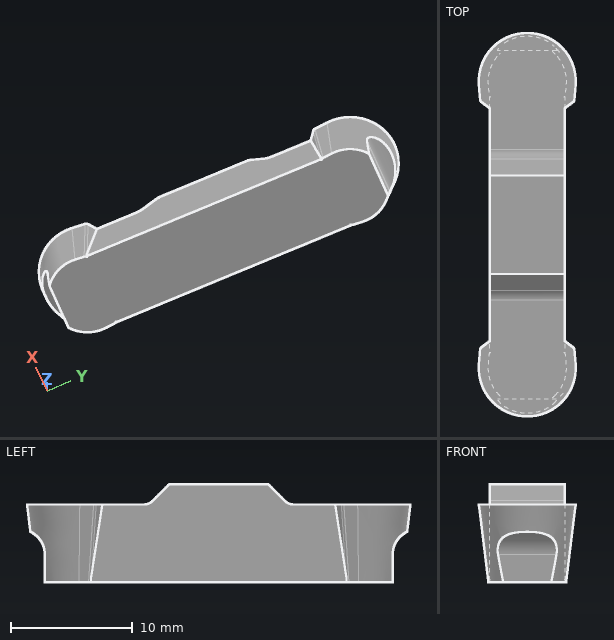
import cadquery as cq
import math

total_length = 31.53
total_height = 8.08
clearance = 1e-4

bar_width = 6.2
bar_end_y = 10.5
pad_half_length = 4.05
pad_slope = math.radians(45)
pad_foot_radius = 1.1

head_height = 6.4
head_radius = 4.0
head_relief_angle = 7.0
head_centre_y = total_length / 2 - head_radius
side_taper = math.radians(5)
shoulder_angle = math.radians(37)
shoulder_root_y = total_length / 2 - 6.2
shoulder_radius = 0.3

nose_flat_y = total_length / 2 - 1.46
nose_flat_height = 2.3
nose_cove_radius = 2.05


def make_bar():
    """Side profile of the bar and pad, extruded across the width."""
    pad_rise = total_height - head_height
    pad_foot_y = pad_half_length + pad_rise / math.tan(pad_slope)
    outline = [
        (-bar_end_y, 0),
        (bar_end_y, 0),
        (bar_end_y, head_height),
        (pad_foot_y, head_height),
        (pad_half_length, total_height),
        (-pad_half_length, total_height),
        (-pad_foot_y, head_height),
        (-bar_end_y, head_height),
    ]
    bar = cq.Workplane("YZ").polyline(outline).close().extrude(bar_width / 2, both=True)
    feet = cq.selectors.BoxSelector(
        (-bar_width, -pad_foot_y - clearance, head_height - clearance),
        (bar_width, pad_foot_y + clearance, head_height + clearance),
    )
    return bar.edges(feet).fillet(pad_foot_radius)


def make_head():
    """Head at the +Y end: round nose, tapered flanks and sloping shoulders, all with relief."""
    tangent_x = head_radius * math.cos(side_taper)
    tangent_y = head_centre_y - head_radius * math.sin(side_taper)

    shoulder_slope = math.tan(shoulder_angle)
    apex_y = shoulder_root_y - bar_width / 2 * shoulder_slope

    flank_slope = math.tan(side_taper)
    corner_x = (tangent_x + flank_slope * (apex_y - tangent_y)) / (1 - flank_slope * shoulder_slope)
    corner_y = apex_y + corner_x * shoulder_slope

    head = (
        cq.Workplane("XY", origin=(0, 0, head_height))
        .moveTo(0, apex_y)
        .lineTo(corner_x, corner_y)
        .lineTo(tangent_x, tangent_y)
        .threePointArc((0, total_length / 2), (-tangent_x, tangent_y))
        .lineTo(-corner_x, corner_y)
        .close()
        .extrude(-head_height, taper=head_relief_angle)
    )
    corner_reach = head_height * math.tan(math.radians(head_relief_angle))
    for side in (-1, 1):
        corner = cq.selectors.NearestToPointSelector(
            (side * (corner_x - corner_reach / 2), corner_y, head_height / 2)
        )
        head = head.edges(corner).fillet(shoulder_radius)
    return head.cut(make_nose_cut())


def make_nose_cut():
    """Vertical flat below the nose, running up into a concave cove that opens outwards."""
    outer_y = nose_flat_y + nose_cove_radius
    bend = nose_cove_radius * math.sqrt(0.5)
    return (
        cq.Workplane("YZ")
        .moveTo(nose_flat_y, -clearance)
        .lineTo(nose_flat_y, nose_flat_height)
        .threePointArc(
            (outer_y - bend, nose_flat_height + bend),
            (outer_y, nose_flat_height + nose_cove_radius),
        )
        .lineTo(outer_y, -clearance)
        .close()
        .extrude(head_radius, both=True)
    )


head = make_head()
result = make_bar().union(head).union(head.mirror("XZ"))